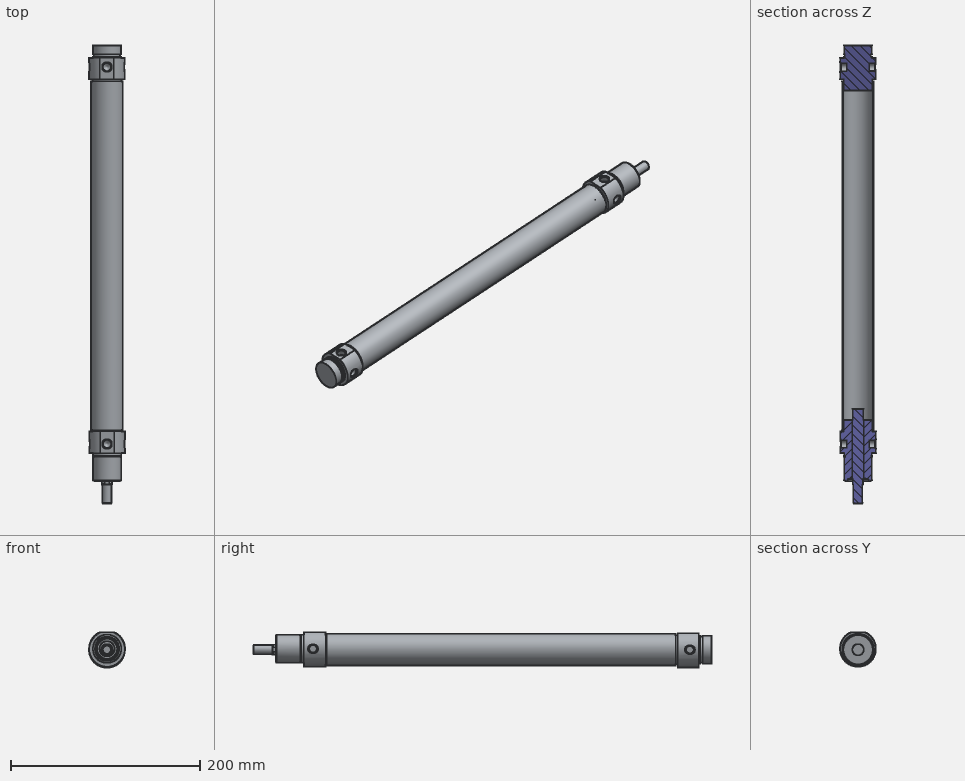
import cadquery as cq


total_length = 483.86
thread_length = 20.8
nose_front = 23.5
front_collar_start = 53.3
front_collar_length = 23.0
front_tube_gap = 1.2
rear_boss_length = 13.4
rear_collar_length = 22.6
rear_tube_gap = 2.0

front_collar_end = front_collar_start + front_collar_length
rear_collar_end = total_length - rear_boss_length
rear_collar_start = rear_collar_end - rear_collar_length
tube_start = front_collar_end + front_tube_gap
tube_end = rear_collar_start - rear_tube_gap

front_shift_x = 0.13
front_lift_z = 1.0

collar_radius = 19.0
flat_height = 17.5
boss_radius = 15.0
nose_chamfer_radial = 1.0
nose_chamfer_length = 2.2
spigot_length = 12.0

groove_depth = 1.0
front_groove_width = 1.2
front_shoulder_width = 2.8
rear_groove_width = 2.4
rear_shoulder_width = 1.4

dish_mouth_radius = 11.4
dish_floor_radius = 10.6
dish_depth = 2.5
wiper_radius = 8.0
wiper_depth = 3.0

mouth_depth = 1.2
port_mouth_radius = 5.2
port_radius = 4.3
port_depth = 7.0
port_tip_depth = 2.5
side_mouth_radius = 5.4
side_hole_radius = 4.0
side_hole_depth = 7.0
front_port_y = 63.0
rear_port_y = total_length - 23.0

tube_radius = 16.9
bore_radius = 15.5

rod_radius = 6.0
thread_radius = 5.0
thread_chamfer = 0.7
rod_shoulder_length = 1.0
wrench_width = 11.0
wrench_flats_end = 25.5
rod_inner_end = 100.0


def revolve_about_y(points):
    """Solid of revolution about Y from (radius, y) points."""
    return cq.Workplane("XY").polyline(points).close().revolve(360, (0, 0, 0), (0, 1, 0))


def frustum(start_radius, end_radius, start, end):
    return revolve_about_y([(0, start), (start_radius, start), (end_radius, end), (0, end)])


def cylinder(radius, start, end):
    return cq.Workplane("XZ", origin=(0, start, 0)).circle(radius).extrude(start - end)


def groove(start, end):
    """Ring that cuts a relief groove into a boss."""
    return cylinder(boss_radius, start, end).cut(cylinder(boss_radius - groove_depth, start, end))


def blind_hole(mouth_radius, radius, depth, tip_depth):
    """Cutter going from the origin along +Y: tapered mouth, straight wall, flat or conical end."""
    return revolve_about_y(
        [(0, 0), (mouth_radius, 0), (radius, mouth_depth), (radius, depth), (0, depth + tip_depth)]
    )


def collar(start, end, port_y):
    """Round collar with a flat on top, an air port in the flat and a blind hole in each side."""
    body = cylinder(collar_radius, start, end)
    above_flat = (
        cq.Workplane("XY")
        .box(2 * collar_radius, end - start, collar_radius, centered=(True, False, False))
        .translate((0, start, flat_height))
    )
    body = body.cut(above_flat)

    port = blind_hole(port_mouth_radius, port_radius, port_depth, port_tip_depth)
    body = body.cut(port.rotate((0, 0, 0), (1, 0, 0), -90).translate((0, port_y, flat_height)))

    side_hole = blind_hole(side_mouth_radius, side_hole_radius, side_hole_depth, 0)
    for side in (-1, 1):
        cutter = side_hole.rotate((0, 0, 0), (0, 0, 1), 90 * side)
        body = body.cut(cutter.translate((side * collar_radius, port_y, 0)))
    return body


def make_front_head():
    nose = cylinder(boss_radius, nose_front, front_collar_start)
    nose = nose.faces("<Y").chamfer(nose_chamfer_radial, nose_chamfer_length)
    groove_end = front_collar_start - front_shoulder_width
    nose = nose.cut(groove(groove_end - front_groove_width, groove_end))
    nose = nose.cut(frustum(dish_mouth_radius, dish_floor_radius, nose_front, nose_front + dish_depth))
    nose = nose.cut(cylinder(wiper_radius, nose_front, nose_front + wiper_depth))

    head = nose.union(collar(front_collar_start, front_collar_end, front_port_y))
    head = head.translate((front_shift_x, 0, front_lift_z))

    spigot_end = front_collar_end + spigot_length
    head = head.union(cylinder(bore_radius, front_collar_end, spigot_end))
    return head.cut(cylinder(rod_radius, nose_front, spigot_end))


def make_rear_head():
    boss = cylinder(boss_radius, rear_collar_end, total_length)
    groove_start = rear_collar_end + rear_shoulder_width
    boss = boss.cut(groove(groove_start, groove_start + rear_groove_width))
    spigot = cylinder(bore_radius, rear_collar_start - spigot_length, rear_collar_start)
    return boss.union(collar(rear_collar_start, rear_collar_end, rear_port_y)).union(spigot)


def make_tube():
    return cylinder(tube_radius, tube_start, tube_end).cut(cylinder(bore_radius, tube_start, tube_end))


def make_rod():
    """Threaded end as a plain cylinder, then a tapered shoulder with four wrench flats."""
    thread = cylinder(thread_radius, 0, thread_length).faces("<Y").chamfer(thread_chamfer)
    shoulder = frustum(thread_radius, rod_radius, thread_length - rod_shoulder_length, thread_length)
    shank = shoulder.union(cylinder(rod_radius, thread_length, wrench_flats_end))
    wrench_square = cq.Workplane("XY").box(
        wrench_width, wrench_flats_end, wrench_width, centered=(True, False, True)
    )
    shank = shank.intersect(wrench_square)
    return thread.union(shank).union(cylinder(rod_radius, wrench_flats_end, rod_inner_end))


front_head = make_front_head().solids()
rear_head = make_rear_head().solids()
tube = make_tube().solids()
rod = make_rod().solids()

result = cq.Compound.makeCompound([front_head.val(), rear_head.val(), tube.val(), rod.val()])